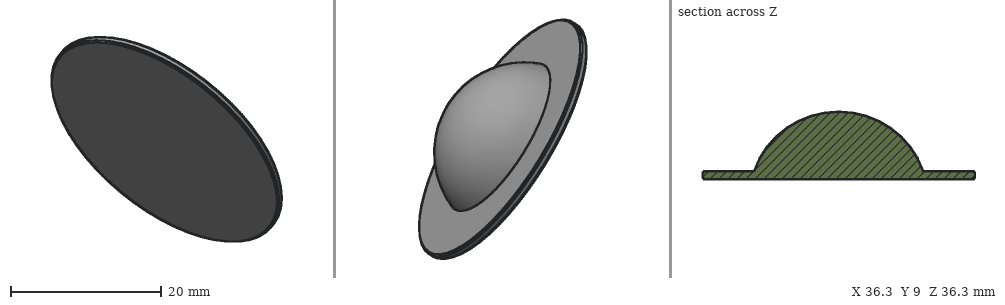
import cadquery as cq

plate_diameter = 36.3
plate_thickness = 1.1
edge_chamfer = 0.2
total_depth = 9.0
sphere_radius = 12.0

sphere_center_y = total_depth - sphere_radius


def make_plate():
    """Disc from y = 0 to the plate thickness, with both rims chamfered."""
    disc = cq.Workplane("XZ").circle(plate_diameter / 2).extrude(-plate_thickness)
    return disc.edges().chamfer(edge_chamfer)


def make_dome():
    """Spherical cap that starts at the front plane inside the plate."""
    sphere = cq.Workplane("XY").sphere(sphere_radius).translate((0, sphere_center_y, 0))
    keep_region = cq.Workplane("XZ").circle(plate_diameter / 2).extrude(-total_depth)
    return sphere.intersect(keep_region)


result = make_plate().union(make_dome()).clean()